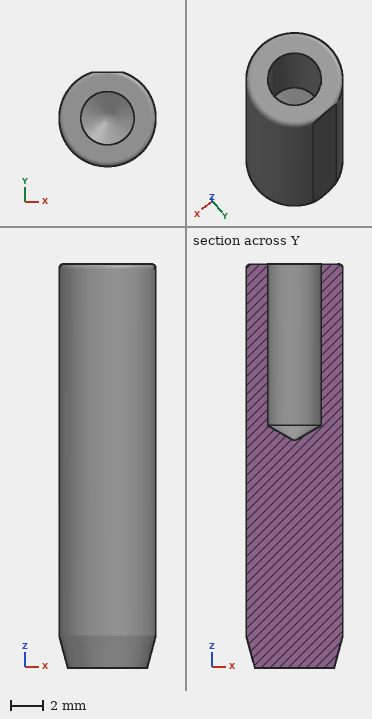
import cadquery as cq
import math

length = 25.0
radius = 3.0
top_round = 0.3

taper_height = 2.0
taper_angle = 15.0

flat_depth = 0.15

hole_radius = 1.65
hole_depth = 10.0
drill_point_angle = 120.0


def pin_body():
    """Round pin with a tapered lower end and a rounded top edge."""
    tip_radius = radius - taper_height * math.tan(math.radians(taper_angle))
    round_mid = top_round * math.sqrt(0.5)
    profile = (
        cq.Workplane("XZ")
        .lineTo(tip_radius, 0)
        .lineTo(radius, taper_height)
        .lineTo(radius, length - top_round)
        .threePointArc(
            (radius - top_round + round_mid, length - top_round + round_mid),
            (radius - top_round, length),
        )
        .lineTo(0, length)
        .close()
    )
    return profile.revolve(360, (0, 0, 0), (0, 1, 0))


def extraction_hole():
    """Straight bore ending in a cone."""
    floor = length - hole_depth
    point_height = hole_radius / math.tan(math.radians(drill_point_angle / 2))
    profile = (
        cq.Workplane("XZ")
        .moveTo(0, floor - point_height)
        .lineTo(hole_radius, floor)
        .lineTo(hole_radius, length)
        .lineTo(0, length)
        .close()
    )
    return profile.revolve(360, (0, 0, 0), (0, 1, 0))


def vent_flat():
    """Block that shaves the +Y side over the full length."""
    return (
        cq.Workplane("XY")
        .box(2 * radius, radius, length, centered=(True, False, False))
        .translate((0, radius - flat_depth, 0))
    )


result = pin_body().cut(extraction_hole()).cut(vent_flat())